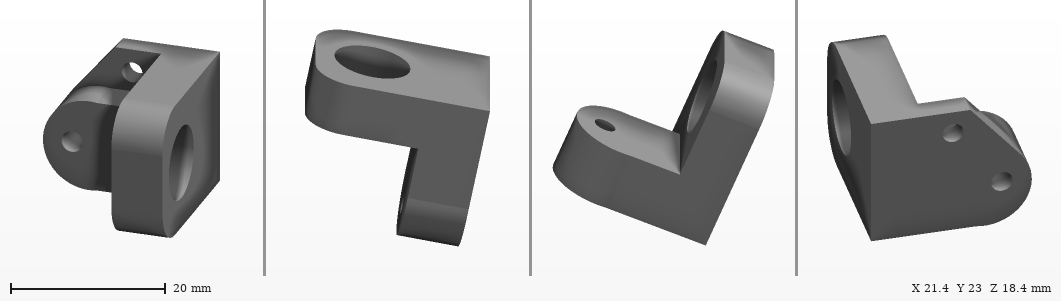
import cadquery as cq
import math

width = 21.44
depth = 23.0
height = 18.4

flange_thickness = 7.0
flange_corner_radius = 5.01
bore_diameter = 10.0
bore_y = 7.5
flange_x = width - flange_thickness

lobe_depth = 8.05
lobe_radius = 6.3
arc_end_x = 7.43
lobe_hole_diameter = 2.9
lobe_hole_x = 3.98
lobe_hole_z = 6.53
arm_half_height = math.sqrt(lobe_radius**2 - (arc_end_x - lobe_radius) ** 2)
arm_bottom = lobe_radius - arm_half_height
arm_top = lobe_radius + arm_half_height

plate_depth = 3.05
slope_top_x = 8.2
slope_foot_x = 1.47
slope_foot_z = lobe_radius + math.sqrt(lobe_radius**2 - (lobe_radius - slope_foot_x) ** 2)
plate_hole_diameter = 2.8
plate_hole_x = 10.49
plate_hole_z = 15.18

bore_z = (arm_bottom + height) / 2


def back_plane():
    """XZ sketch plane on the back face; positive extrusion goes toward -Y."""
    return cq.Workplane("XZ", origin=(0, depth, 0))


def back_hole(x, z, diameter):
    return back_plane().center(x, z).circle(diameter / 2).extrude(lobe_depth)


flange = (
    cq.Workplane("XY")
    .box(flange_thickness, depth, height - arm_bottom, centered=False)
    .translate((flange_x, 0, arm_bottom))
    .edges("|X and <Y")
    .fillet(flange_corner_radius)
)
bore = (
    cq.Workplane("YZ", origin=(flange_x, 0, 0))
    .center(bore_y, bore_z)
    .circle(bore_diameter / 2)
    .extrude(flange_thickness)
)

lobe = (
    back_plane()
    .moveTo(width, arm_bottom)
    .lineTo(arc_end_x, arm_bottom)
    .threePointArc((0, lobe_radius), (arc_end_x, arm_top))
    .lineTo(width, arm_top)
    .close()
    .extrude(lobe_depth)
)

plate = (
    back_plane()
    .moveTo(slope_foot_x, slope_foot_z)
    .lineTo(slope_top_x, height)
    .lineTo(width, height)
    .lineTo(width, lobe_radius)
    .lineTo(lobe_radius, lobe_radius)
    .close()
    .extrude(plate_depth)
)

result = (
    flange.union(lobe)
    .union(plate)
    .cut(bore)
    .cut(back_hole(lobe_hole_x, lobe_hole_z, lobe_hole_diameter))
    .cut(back_hole(plate_hole_x, plate_hole_z, plate_hole_diameter))
)